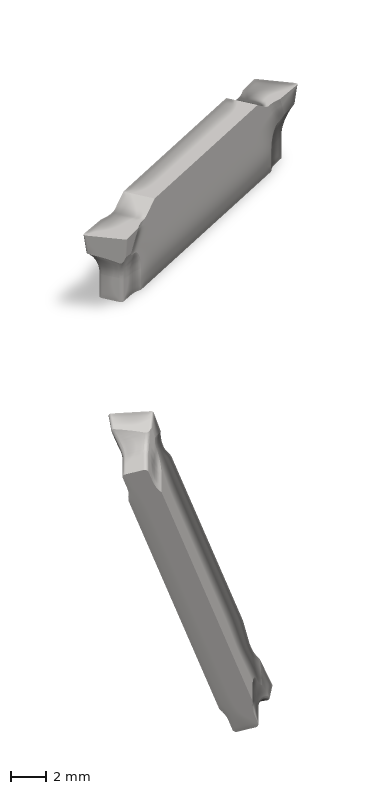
import cadquery as cq
import math

height = 5.0
body_half_width = 1.0

rake_height = 4.3
ramp_start = 6.58
ramp_angle = math.radians(30)
ramp_blend_radius = 0.83

sharp_tip = 11.3
head_half_width = 1.25
head_back = 7.43
head_back_half_width = 1.13
edge_setback = 0.6
corner_radius = 0.15
draft_angle = 5.5

flank_blend_start = 8.02
flank_blend_slope = math.radians(52)
flank_blend_radius = 1.87
flank_blend_reach = 1.01

neck_end = 10.25
neck_top = 3.27
neck_half_width = 0.77
neck_corner_radius = 0.23
neck_side_start = 9.25
neck_run_out_radius = 2.1
front_flare_start = 1.5
front_flare_radius = 1.87
side_flare_start = 1.35
side_flare_radius = 4.25

head_overlap = 0.45
envelope_reach = 13.51


def arc_rise(radius, run):
    """Distance an arc leaves its tangent line after the given run."""
    return radius - math.sqrt(radius**2 - run**2)


def flared_wall(plane, foot, flare_start, flare_radius):
    """Start an outline with a vertical wall that flares outwards up to the neck top."""
    rise = neck_top - flare_start
    middle = (foot + arc_rise(flare_radius, rise / 2), flare_start + rise / 2)
    top = (foot + arc_rise(flare_radius, rise), neck_top)
    return (
        cq.Workplane(plane)
        .moveTo(foot, 0)
        .lineTo(foot, flare_start)
        .threePointArc(middle, top)
    )


def make_stepped_bar(half_width, end):
    """Bar from Y = 0 to the given end, ramping down from the body top to the rake face."""
    ramp_end = ramp_start + (height - rake_height) / math.tan(ramp_angle)
    tangent_length = ramp_blend_radius * math.tan(ramp_angle / 2)
    half_run = ramp_blend_radius * math.sin(ramp_angle / 2)
    blend_end = ramp_end + tangent_length
    blend_middle = (blend_end - half_run, rake_height + arc_rise(ramp_blend_radius, half_run))
    blend_start = (
        ramp_end - tangent_length * math.cos(ramp_angle),
        rake_height + tangent_length * math.sin(ramp_angle),
    )
    return (
        cq.Workplane("YZ")
        .moveTo(0, 0)
        .lineTo(end, 0)
        .lineTo(end, rake_height)
        .lineTo(blend_end, rake_height)
        .threePointArc(blend_middle, blend_start)
        .lineTo(ramp_start, height)
        .lineTo(0, height)
        .close()
        .extrude(half_width, both=True)
    )


def make_flank_envelope():
    """Slanted prism whose concave sides narrow the head into the body."""
    middle = flank_blend_reach / 2
    middle_half_width = body_half_width + arc_rise(flank_blend_radius, middle)
    tip_half_width = body_half_width + arc_rise(flank_blend_radius, flank_blend_reach)
    slant = cq.Plane(
        origin=(0, flank_blend_start, rake_height),
        xDir=(-1, 0, 0),
        normal=(0, math.cos(flank_blend_slope), -math.sin(flank_blend_slope)),
    )
    return (
        cq.Workplane(slant)
        .moveTo(body_half_width, -envelope_reach)
        .lineTo(body_half_width, 0)
        .threePointArc((middle_half_width, middle), (tip_half_width, flank_blend_reach))
        .lineTo(tip_half_width, envelope_reach)
        .lineTo(-tip_half_width, envelope_reach)
        .lineTo(-tip_half_width, flank_blend_reach)
        .threePointArc((-middle_half_width, middle), (-body_half_width, 0))
        .lineTo(-body_half_width, -envelope_reach)
        .close()
        .extrude(envelope_reach, both=True)
    )


def make_head():
    """Drafted head with an oblique, round-cornered cutting edge."""
    drafted = (
        cq.Workplane("XY", origin=(0, 0, rake_height))
        .polyline([
            (-head_back_half_width, head_back),
            (head_back_half_width, head_back),
            (head_half_width, sharp_tip),
            (-head_half_width, sharp_tip - edge_setback),
        ])
        .close()
        .extrude(-rake_height, taper=draft_angle)
        .faces(">Y")
        .edges("not #Z")
        .fillet(corner_radius)
    )
    step = make_stepped_bar(head_half_width, sharp_tip)
    return drafted.intersect(make_flank_envelope()).intersect(step)


def make_side_relief():
    """Cutter beside the +X neck wall, running out into the body side on an arc."""
    axis_x = neck_half_width + neck_run_out_radius

    def section():
        return (
            flared_wall("XZ", neck_half_width, side_flare_start, side_flare_radius)
            .lineTo(axis_x, neck_top)
            .lineTo(axis_x, 0)
            .close()
        )

    straight = section().extrude(-(sharp_tip + head_overlap - neck_side_start))
    run_out = section().revolve(360, (axis_x, 0, 0), (axis_x, 1, 0))
    return straight.union(run_out).translate((0, neck_side_start, 0))


def make_neck_envelope():
    """Everything the neck shape leaves below the neck top, plus all space above it."""
    column = (
        flared_wall("YZ", neck_end, front_flare_start, front_flare_radius)
        .lineTo(0, neck_top)
        .lineTo(0, 0)
        .close()
        .extrude(neck_half_width + neck_run_out_radius, both=True)
    )
    relief = make_side_relief()
    column = column.cut(relief).cut(relief.mirror("YZ"))
    for side in (-1, 1):
        foot = (side * neck_half_width, neck_end, side_flare_start / 2)
        column = column.edges(cq.selectors.NearestToPointSelector(foot)).fillet(neck_corner_radius)
    above = (
        cq.Workplane("XY", origin=(0, 0, neck_top))
        .rect(2 * envelope_reach, 2 * envelope_reach)
        .extrude(height - neck_top)
    )
    return column.union(above)


def make_half():
    """The +Y half of the insert."""
    plate = make_stepped_bar(body_half_width, neck_side_start + head_overlap)
    return plate.union(make_head()).intersect(make_neck_envelope())


half = make_half()
result = half.union(half.rotate((0, 0, 0), (0, 0, 1), 180)).clean()